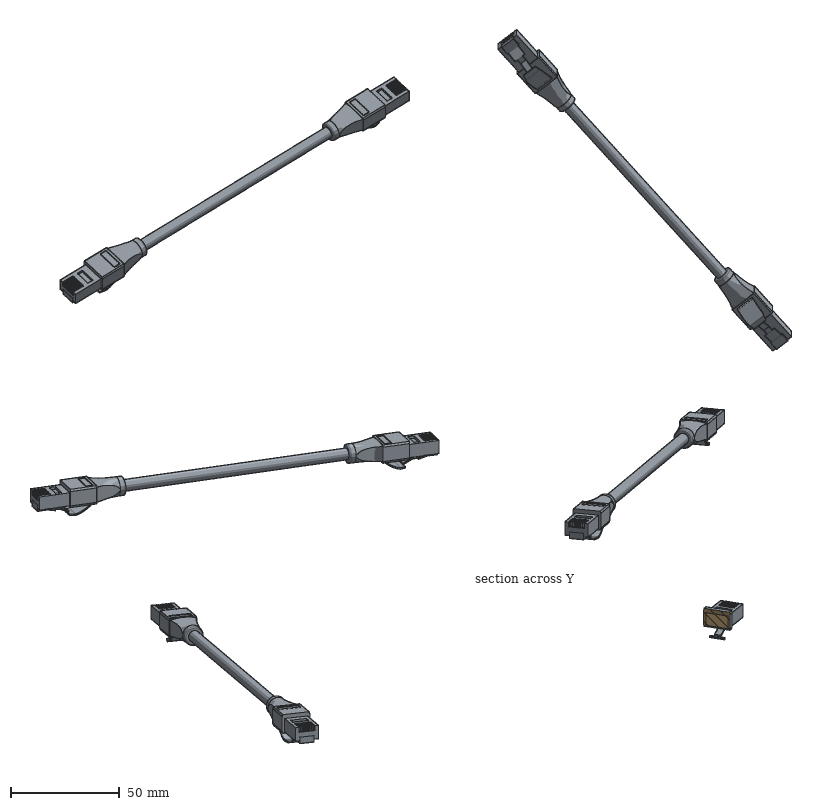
import cadquery as cq
import math

CORD_LENGTH = 196.9
TIP_Y = -CORD_LENGTH / 2
CABLE_DIAMETER = 5.5

PLUG_WIDTH = 11.2
PLUG_TOP = 2.5
PLUG_BOTTOM = -4.0
PLUG_LENGTH = 21.7
CONTACT_COUNT = 8
CONTACT_PITCH = 1.02
CONTACT_SLOT_WIDTH = 0.5
CONTACT_SLOT_LENGTH = 6.1
CONTACT_SLOT_DEPTH = 2.4
PLUG_WINDOW_WIDTH = 7.7
PLUG_WINDOW_LENGTH = 3.0
PLUG_WINDOW_START = 8.7
PLUG_WINDOW_DEPTH = 1.2

LATCH_ROOT_WIDTH = 6.9
LATCH_ROOT_LENGTH = 4.1
LATCH_ROOT_TOP = -2.2
LATCH_ROOT_BOTTOM = -5.3
LATCH_THICKNESS = 0.8
LATCH_ARM_WIDTH = 6.0
LATCH_FINGER_WIDTH = 3.2
LATCH_BEND_START = 9.0
LATCH_BEND_END = 11.5
LATCH_BEND_Z = -5.7
LATCH_END = 16.1
LATCH_END_Z = -7.9

BOOT_WIDTH = 13.5
BOOT_HALF_HEIGHT = 4.5
BOOT_START = 15.0
BOX_END = 28.0
COLLAR_START = 40.4
BOOT_END = 43.3
BOX_CHAMFER_HEIGHT = 1.0
BOX_CHAMFER_WIDTH = 0.4
COLLAR_EDGE_RADIUS = 0.5
FLARE_LENGTH = 9.8
TAIL_SECTIONS = 6
TAIL_SIDE_HALF_HEIGHT = 3.7
TAIL_SIDE_MIN_HALF_HEIGHT = 0.2
BOOT_WINDOW_WIDTH = 10.2
BOOT_WINDOW_LENGTH = 3.3
BOOT_WINDOW_START = 23.2
BOOT_WINDOW_DEPTH = 0.4

GUARD_WIDTH = 9.0
GUARD_THICKNESS = 0.8
GUARD_TIP = 15.8
GUARD_LOW_POINT = 18.3
GUARD_MIDDLE = 22.6
GUARD_MIDDLE_Z = -7.9
GUARD_ROOT = 27.0
GUARD_BOTTOM = -9.6
GUARD_TIP_WIDTH = 7.0
GUARD_TAPER_LENGTH = 4.0


def from_tip(distance):
    """Y position at a distance from the plug tip."""
    return TIP_Y + distance


def block(width, start, end, bottom, top):
    """Box centred on X, between two distances from the tip and two heights."""
    return (
        cq.Workplane("XY", origin=(0, from_tip(start), bottom))
        .box(width, end - start, top - bottom, centered=(True, False, False))
    )


def plug_envelope():
    """Plug outer block, which also shapes the pocket in the boot."""
    return block(PLUG_WIDTH, 0, PLUG_LENGTH, PLUG_BOTTOM, PLUG_TOP)


def latch_root():
    """Block that fills the notch under the plug nose."""
    return block(LATCH_ROOT_WIDTH, 0, LATCH_ROOT_LENGTH, LATCH_ROOT_BOTTOM, LATCH_ROOT_TOP)


def make_plug():
    """Plug with a latch notch, a window in its top and slots for the contacts."""
    plug = plug_envelope().cut(latch_root())
    window_end = PLUG_WINDOW_START + PLUG_WINDOW_LENGTH
    window_floor = PLUG_TOP - PLUG_WINDOW_DEPTH
    plug = plug.cut(block(PLUG_WINDOW_WIDTH, PLUG_WINDOW_START, window_end, window_floor, PLUG_TOP))
    slot = block(CONTACT_SLOT_WIDTH, 0, CONTACT_SLOT_LENGTH, PLUG_TOP - CONTACT_SLOT_DEPTH, PLUG_TOP)
    for index in range(CONTACT_COUNT):
        slot_x = (index - (CONTACT_COUNT - 1) / 2) * CONTACT_PITCH
        plug = plug.cut(slot.translate((slot_x, 0, 0)))
    return plug


def make_latch():
    """Root block in the plug nose, with a bent arm that narrows to a finger."""
    root_y = from_tip(LATCH_ROOT_LENGTH)
    bend_start_y = from_tip(LATCH_BEND_START)
    bend_end_y = from_tip(LATCH_BEND_END)
    end_y = from_tip(LATCH_END)
    arm = (
        cq.Workplane("YZ")
        .moveTo(root_y, LATCH_ROOT_BOTTOM)
        .lineTo(root_y, LATCH_ROOT_BOTTOM + LATCH_THICKNESS)
        .lineTo(bend_start_y, LATCH_BEND_Z)
        .lineTo(bend_end_y, LATCH_BEND_Z)
        .lineTo(end_y, LATCH_END_Z)
        .lineTo(end_y, LATCH_END_Z - LATCH_THICKNESS)
        .lineTo(bend_end_y, LATCH_BEND_Z - LATCH_THICKNESS)
        .lineTo(bend_start_y, LATCH_BEND_Z - LATCH_THICKNESS)
        .close()
        .extrude(LATCH_ARM_WIDTH / 2, both=True)
    )
    wide_part = block(LATCH_ARM_WIDTH, 0, LATCH_BEND_START, GUARD_BOTTOM, PLUG_BOTTOM)
    finger_part = block(LATCH_FINGER_WIDTH, 0, LATCH_END, GUARD_BOTTOM, PLUG_BOTTOM)
    return latch_root().union(arm.intersect(wide_part.union(finger_part)))


def boot_box():
    """Box with chamfered long edges and a shallow window in its top."""
    half_width = BOOT_WIDTH / 2
    flat_half_width = half_width - BOX_CHAMFER_WIDTH
    side_half_height = BOOT_HALF_HEIGHT - BOX_CHAMFER_HEIGHT
    box = (
        cq.Workplane("XZ", origin=(0, from_tip(BOX_END), 0))
        .polyline([
            (half_width, -side_half_height),
            (half_width, side_half_height),
            (flat_half_width, BOOT_HALF_HEIGHT),
            (-flat_half_width, BOOT_HALF_HEIGHT),
            (-half_width, side_half_height),
            (-half_width, -side_half_height),
            (-flat_half_width, -BOOT_HALF_HEIGHT),
            (flat_half_width, -BOOT_HALF_HEIGHT),
        ])
        .close()
        .extrude(BOX_END - BOOT_START)
    )
    window_end = BOOT_WINDOW_START + BOOT_WINDOW_LENGTH
    window_floor = BOOT_HALF_HEIGHT - BOOT_WINDOW_DEPTH
    return box.cut(block(BOOT_WINDOW_WIDTH, BOOT_WINDOW_START, window_end, window_floor, BOOT_HALF_HEIGHT))


def tail_section(fraction):
    """Tail outline at a fraction of the way to the collar: flat sides, domed top and bottom."""
    distance = BOX_END + fraction * (COLLAR_START - BOX_END)
    flare = max(0, 1 - (distance - BOX_END) / FLARE_LENGTH) ** 2
    half_width = BOOT_HALF_HEIGHT + flare * (BOOT_WIDTH / 2 - BOX_CHAMFER_WIDTH - BOOT_HALF_HEIGHT)
    side = max(TAIL_SIDE_MIN_HALF_HEIGHT, TAIL_SIDE_HALF_HEIGHT * math.sqrt(1 - fraction**2))
    return (
        cq.Workplane("XZ", origin=(0, from_tip(distance), 0))
        .moveTo(half_width, -side)
        .lineTo(half_width, side)
        .threePointArc((0, BOOT_HALF_HEIGHT), (-half_width, side))
        .lineTo(-half_width, -side)
        .threePointArc((0, -BOOT_HALF_HEIGHT), (half_width, -side))
        .close()
        .val()
    )


def boot_tail():
    """Flared tail that blends from the box to the round collar."""
    sections = [tail_section(index / (TAIL_SECTIONS - 1)) for index in range(TAIL_SECTIONS)]
    return cq.Workplane(cq.Solid.makeLoft(sections))


def y_cylinder(radius, start_y, end_y):
    """Cylinder about the cord axis."""
    return cq.Workplane(
        cq.Solid.makeCylinder(radius, end_y - start_y, cq.Vector(0, start_y, 0), cq.Vector(0, 1, 0))
    )


def boot_collar():
    """Round collar with a filleted rim where the cable leaves the boot."""
    collar = y_cylinder(BOOT_HALF_HEIGHT, from_tip(COLLAR_START), from_tip(BOOT_END))
    return collar.faces(">Y").edges().fillet(COLLAR_EDGE_RADIUS)


def boot_guard():
    """Strap that drops from the boot box and levels out under the latch finger."""
    tip_y = from_tip(GUARD_TIP)
    low_y = from_tip(GUARD_LOW_POINT)
    middle_y = from_tip(GUARD_MIDDLE)
    root_y = from_tip(GUARD_ROOT)
    root_z = -BOOT_HALF_HEIGHT
    strap = (
        cq.Workplane("YZ")
        .moveTo(tip_y, GUARD_BOTTOM)
        .lineTo(low_y, GUARD_BOTTOM)
        .threePointArc((middle_y, GUARD_MIDDLE_Z), (root_y, root_z))
        .lineTo(root_y, root_z + GUARD_THICKNESS)
        .threePointArc((middle_y, GUARD_MIDDLE_Z + GUARD_THICKNESS), (low_y, GUARD_BOTTOM + GUARD_THICKNESS))
        .lineTo(tip_y, GUARD_BOTTOM + GUARD_THICKNESS)
        .close()
        .extrude(GUARD_WIDTH / 2, both=True)
    )
    taper_end_y = from_tip(GUARD_TIP + GUARD_TAPER_LENGTH)
    plan = (
        cq.Workplane("XY", origin=(0, 0, GUARD_BOTTOM))
        .polyline([
            (-GUARD_TIP_WIDTH / 2, tip_y),
            (GUARD_TIP_WIDTH / 2, tip_y),
            (GUARD_WIDTH / 2, taper_end_y),
            (GUARD_WIDTH / 2, root_y),
            (-GUARD_WIDTH / 2, root_y),
            (-GUARD_WIDTH / 2, taper_end_y),
        ])
        .close()
        .extrude(-GUARD_BOTTOM)
    )
    return strap.intersect(plan)


def make_boot():
    """Boot with its guard, opened for the plug and the cable."""
    boot = boot_box().union(boot_tail()).union(boot_collar()).union(boot_guard())
    return boot.cut(plug_envelope()).cut(make_cable())


def make_cable():
    """Round cable between the rear faces of the two plugs."""
    start_y = from_tip(PLUG_LENGTH)
    return y_cylinder(CABLE_DIAMETER / 2, start_y, -start_y)


def place_at_end(body, end_angle):
    """Solid of a body, turned about Z to its end of the cord."""
    return body.rotate((0, 0, 0), (0, 0, 1), end_angle).solids().val()


END_ANGLES = (0, 180)
cable = make_cable()
plugs = [place_at_end(make_plug(), angle) for angle in END_ANGLES]
latches = [place_at_end(make_latch(), angle) for angle in END_ANGLES]
boots = [place_at_end(make_boot(), angle) for angle in END_ANGLES]

result = cq.Compound.makeCompound([cable.val(), *plugs, *latches, *boots])